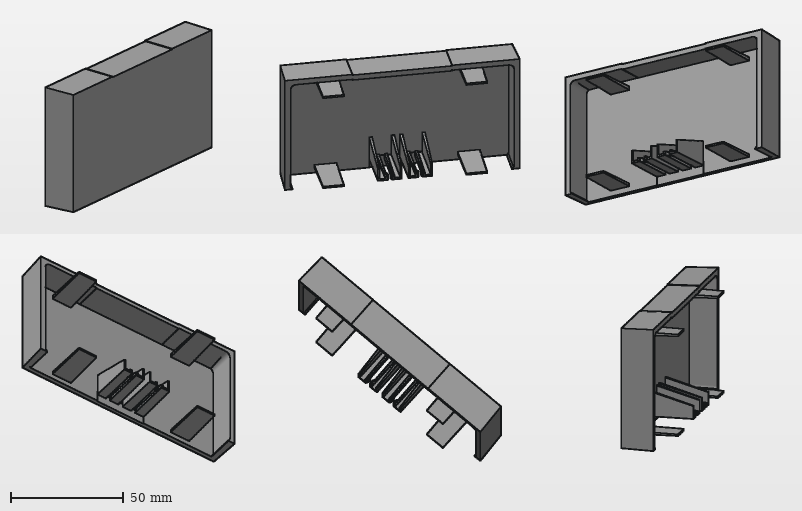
import cadquery as cq
import math

length = 106.6
height = 56.3
depth = 15.0
draft_drop = 0.6
wall = 2.6
plate_thickness = 2.1
plate_inner = depth - plate_thickness
protrusion = 6.9
tip_x = -protrusion

cavity_radius = 2.6
cavity_overrun = 0.5
cavity_lean = 0.3
toe_height = 0.9
toe_reach = 1.1

step_half_width = 22.6
step_drop = 0.3

clip_y = 32.5
clip_width = 10.1
clip_taper = 0.3
clip_tip_thickness = 0.9
upper_clip_top = 50.3
upper_clip_root_thickness = 1.7
lower_clip_top = 4.0
lower_clip_root_thickness = 1.3

channel_inner = 1.2
channel_outer = 12.7
slot_width = 2.1
rail_bottom = 4.2
floor_top = 5.4
ridge_top = 6.5
ridge_width = 1.4
ridge_lean = 0.2
rail_root_top = 15.8
rail_tip_top = 10.3
rail_wall = 1.4
rail_taper = 0.3
bump_height = 0.5
bump_length = 3.1
bump_setback = 1.7
bump_x = tip_x + bump_setback

relief_depth = 0.3
relief_top = 5.8


def section(x, points):
    """Closed wire through (y, z) points in the plane at x."""
    return cq.Wire.makePolygon([cq.Vector(x, y, z) for y, z in points], close=True)


def taper(x_start, points_start, x_end, points_end):
    """Straight-sided solid between two sections with matching corners."""
    wires = [section(x_start, points_start), section(x_end, points_end)]
    return cq.Workplane(obj=cq.Solid.makeLoft(wires, True))


def rectangle(y_min, y_max, z_min, z_max):
    return [(y_min, z_min), (y_max, z_min), (y_max, z_max), (y_min, z_max)]


def block(x_min, x_max, y_half, z_min, z_max):
    """Box centred on the XZ plane."""
    return (
        cq.Workplane("XY")
        .box(x_max - x_min, 2 * y_half, z_max - z_min, centered=(False, True, False))
        .translate((x_min, 0, z_min))
    )


def make_envelope():
    half = length / 2
    rim = rectangle(-half, half, 0, height)
    face = rectangle(-half + draft_drop, half - draft_drop, 0, height - draft_drop)
    return taper(0, rim, depth, face)


def make_top_step():
    """Wedge removed from the middle of the drafted top face."""
    return (
        cq.Workplane("XZ")
        .polyline([
            (0, height - step_drop),
            (depth, height - draft_drop - step_drop),
            (depth, height),
            (0, height),
        ])
        .close()
        .extrude(step_half_width, both=True)
    )


def make_cavity():
    ceiling = height - wall
    low_ceiling = ceiling - cavity_lean
    pocket = block(0, plate_inner, length / 2 - wall, -cavity_overrun, ceiling)
    pocket = pocket.edges("|X").fillet(cavity_radius)
    ceiling_wedge = (
        cq.Workplane("XZ")
        .polyline([(0, ceiling), (plate_inner, low_ceiling), (plate_inner, ceiling)])
        .close()
        .extrude(length / 2, both=True)
    )
    ceiling_step = block(0, plate_inner, step_half_width, low_ceiling, ceiling)
    return pocket.cut(ceiling_wedge).cut(ceiling_step)


def make_toe(side):
    """Flat bevel from the lower corner arc of the cavity down to the open bottom."""
    wall_y = length / 2 - wall
    drop = cavity_radius - cavity_overrun - toe_height
    arc_inset = cavity_radius - math.sqrt(cavity_radius**2 - drop**2)
    corners = [
        (side * (wall_y + wall / 2), 0),
        (side * (wall_y - toe_reach), 0),
        (side * (wall_y - arc_inset), toe_height),
        (side * (wall_y + wall / 2), toe_height),
    ]
    return cq.Workplane("YZ").polyline(corners).close().extrude(plate_inner)


def make_clip(y_center, top, root_thickness):
    """Tapered tongue with a flat top, rooted in the plate."""
    root_half = clip_width / 2
    tip_half = root_half - clip_taper
    root = rectangle(y_center - root_half, y_center + root_half, top - root_thickness, top)
    tip = rectangle(y_center - tip_half, y_center + tip_half, top - clip_tip_thickness, top)
    return taper(tip_x, tip, plate_inner + relief_depth, root)


def rail_profile(side_y, slot_y, top, inset):
    """L-shaped half channel: tall wall at side_y, ridged floor ending at slot_y."""
    inward = 1 if slot_y > side_y else -1
    outer = side_y + inward * inset
    inner = side_y + inward * (rail_wall - inset)
    ridge = slot_y - inward * (ridge_width - inset)
    bottom = rail_bottom + inset / 2
    floor = floor_top - inset / 2
    return [
        (outer, bottom),
        (outer, top),
        (inner, top),
        (inner, floor),
        (ridge, floor),
        (ridge, ridge_top - inset),
        (slot_y - inward * ridge_lean, ridge_top - inset),
        (slot_y, bottom),
    ]


def make_rail(side_y, slot_y):
    """One half channel with a rounded snap bump facing the slot."""
    tip = rail_profile(side_y, slot_y, rail_tip_top, rail_taper)
    root = rail_profile(side_y, slot_y, rail_root_top, 0)
    rail = taper(tip_x, tip, plate_inner + relief_depth, root)

    inward = 1 if slot_y > side_y else -1
    bump_root = slot_y - inward * ridge_width / 2
    bump_end = slot_y + inward * bump_height
    bump_start_x = bump_x - bump_length / 2
    bump_end_x = bump_x + bump_length / 2
    bump_base = rail_bottom + rail_taper / 2
    bump = (
        cq.Workplane("XY", origin=(0, 0, bump_base))
        .moveTo(bump_start_x, bump_root)
        .lineTo(bump_start_x, slot_y)
        .threePointArc((bump_x, bump_end), (bump_end_x, slot_y))
        .lineTo(bump_end_x, bump_root)
        .close()
        .extrude(ridge_top - rail_taper - bump_base)
    )
    return rail.union(bump)


relief = block(plate_inner, plate_inner + relief_depth, channel_outer, 0, relief_top)
slot_center = (channel_inner + channel_outer) / 2
inner_slot_edge = slot_center - slot_width / 2
outer_slot_edge = slot_center + slot_width / 2

result = make_envelope().cut(make_top_step()).cut(make_cavity()).cut(relief)

for side in (-1, 1):
    result = result.union(make_toe(side))

    result = result.union(make_clip(side * clip_y, upper_clip_top, upper_clip_root_thickness))
    result = result.union(make_clip(side * clip_y, lower_clip_top, lower_clip_root_thickness))

    result = result.union(make_rail(side * channel_inner, side * inner_slot_edge))
    result = result.union(make_rail(side * channel_outer, side * outer_slot_edge))